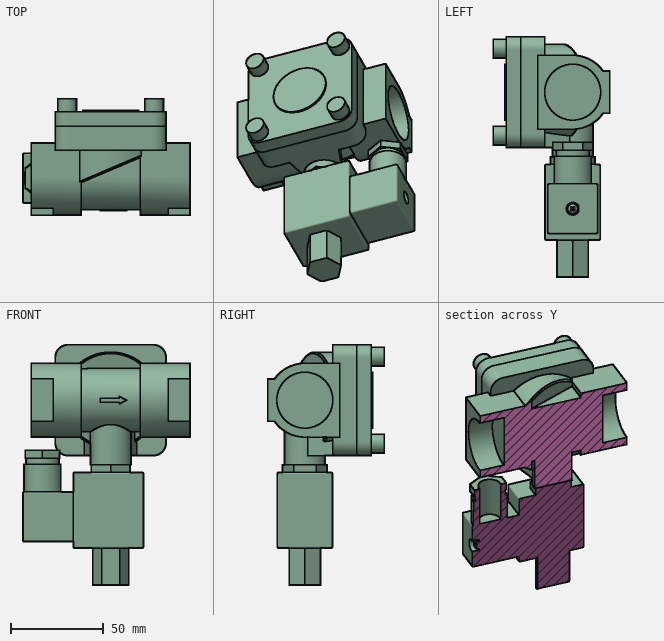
import cadquery as cq
import math


body_length = 86.0
body_radius = 20.0
body_back_y = 19.0
waist_length = 32.0
port_diameter = 30.29
waist_wall = 2.0
waist_radius = port_diameter / 2 + waist_wall
port_depth = 14.0

pad_length = 12.0
pad_height = 23.0
pad_face_y = -20.1

arrow_face_y = -17.5
arrow_tail_x = -5.7
arrow_neck_x = 4.7
arrow_tip_x = 8.6
arrow_shaft_half = 1.1
arrow_head_half = 2.0

flange_size = 60.0
flange_corner_radius = 7.0
flange_front_y = 15.0
cover_front_y = 28.0
cover_back_y = 36.0
disc_diameter = 30.29
disc_height = 0.8
bolt_head_diameter = 10.25
bolt_head_height = 7.0
bolt_offset = 23.5

neck_radius = 26.0
neck_chamfer = 0.8
slope_left_y = -2.4
slope_right_y = 11.2

boss_radius = 11.0
boss_bottom_z = -35.0
web_front_y = 1.7
web_back_half_width = 14.2

collar_flats = 21.0
coil_left_x = -20.2
coil_right_x = 17.8
coil_depth = 30.0
coil_top_z = -39.0
coil_bottom_z = -80.0
coil_fillet = 1.0
nut_flats = 17.0
nut_bottom_z = -100.0
nut_chamfer = 0.3

plug_left_x = -47.5
plug_size = 27.0
plug_top_z = -49.5
plug_fillet = 1.0
gland_x = -36.9
gland_diameter = 20.0
gland_top_z = -34.5
gland_neck_diameter = 18.0
gland_neck_top_z = -31.5
gland_hex_flats = 18.7
gland_hex_top_z = -27.0
cable_hole_diameter = 12.3

screw_z = plug_top_z - plug_size / 2
screw_hole_diameter = 6.8
screw_hole_depth = 4.0
screw_head_diameter = 5.5
screw_head_height = 2.4
screw_rim_height = 1.0
cross_span = 2.58
cross_width = 0.7
cross_depth = 1.0


def box(x0, x1, y0, y1, z0, z1):
    """Box between two opposite corners."""
    return cq.Workplane("XY").box(x1 - x0, y1 - y0, z1 - z0, centered=False).translate((x0, y0, z0))


def upright(x, z0, z1, diameter):
    """Cylinder along Z, centred on Y = 0."""
    return cq.Workplane("XY", origin=(x, 0, z0)).circle(diameter / 2).extrude(z1 - z0)


def hexagon(x, z0, z1, flats, turn):
    """Hexagonal prism along Z; turn 0 puts two corners on the X direction, 30 on the Y direction."""
    corner_diameter = flats / math.cos(math.pi / 6)
    prism = cq.Workplane("XY").polygon(6, corner_diameter).extrude(z1 - z0)
    return prism.rotate((0, 0, 0), (0, 0, 1), turn).translate((x, 0, z0))


def d_section(x0, x1, radius):
    """Bar along X: half round at the front, square at the back."""
    profile = (
        cq.Workplane("YZ", origin=(x0, 0, 0))
        .moveTo(body_back_y, radius)
        .lineTo(0, radius)
        .threePointArc((-radius, 0), (0, -radius))
        .lineTo(body_back_y, -radius)
        .close()
    )
    return profile.extrude(x1 - x0)


def along_y(y0, y1):
    """Workplane at Y = y1, with local x on X and local y on Z, and the length that extrudes back to y0."""
    return cq.Workplane("XZ", origin=(0, y1, 0)), y1 - y0


def flow_body():
    half_body = body_length / 2
    half_waist = waist_length / 2
    left_end = d_section(-half_body, -half_waist, body_radius)
    right_end = d_section(half_waist, half_body, body_radius)
    return d_section(-half_waist, half_waist, waist_radius).union(left_end).union(right_end)


def wrench_pads():
    pads = cq.Workplane("XY")
    for x in (-body_length / 2, body_length / 2 - pad_length):
        pads = pads.union(box(x, x + pad_length, pad_face_y, 0, -pad_height / 2, pad_height / 2))
    return pads


def flow_arrow():
    plane, height = along_y(arrow_face_y, 0)
    half = [
        (arrow_tail_x, arrow_shaft_half),
        (arrow_neck_x, arrow_shaft_half),
        (arrow_neck_x, arrow_head_half),
    ]
    mirrored = [(x, -z) for x, z in reversed(half)]
    return plane.polyline(half + [(arrow_tip_x, 0)] + mirrored).close().extrude(height)


def square_plate(y0, y1):
    """Square plate with rounded corners between two Y positions."""
    plane, height = along_y(y0, y1)
    return plane.rect(flange_size, flange_size).extrude(height).edges("|Y").fillet(flange_corner_radius)


def sloped_neck():
    slope = (slope_right_y - slope_left_y) / waist_length
    mid_y = (slope_left_y + slope_right_y) / 2
    reach = 2 * neck_radius
    plane, height = along_y(-reach, flange_front_y)
    neck = plane.circle(neck_radius).extrude(height)
    behind_slope = (
        cq.Workplane("XY", origin=(0, 0, -reach))
        .moveTo(-reach, mid_y - slope * reach)
        .lineTo(reach, mid_y + slope * reach)
        .lineTo(reach, 2 * reach)
        .lineTo(-reach, 2 * reach)
        .close()
        .extrude(2 * reach)
    )
    sloping_face = cq.selectors.DirectionMinMaxSelector(cq.Vector(slope, -1, 0))
    return neck.intersect(behind_slope).faces(sloping_face).chamfer(neck_chamfer)


def outlet_boss():
    boss = upright(0, boss_bottom_z, 0, 2 * boss_radius)
    web_front_half_width = math.sqrt(boss_radius**2 - web_front_y**2)
    web = (
        cq.Workplane("XY", origin=(0, 0, -flange_size / 2))
        .moveTo(-web_front_half_width, web_front_y)
        .lineTo(web_front_half_width, web_front_y)
        .lineTo(web_back_half_width, flange_front_y)
        .lineTo(-web_back_half_width, flange_front_y)
        .close()
        .extrude(flange_size / 2)
    )
    return boss.union(web)


def make_valve_body():
    body = flow_body().union(wrench_pads()).union(flow_arrow())
    body = body.union(square_plate(flange_front_y, cover_front_y)).union(sloped_neck()).union(outlet_boss())
    for end in (-1, 1):
        port = cq.Workplane("YZ", origin=(end * body_length / 2, 0, 0))
        body = body.cut(port.circle(port_diameter / 2).extrude(-end * port_depth))
    return body


def make_cover():
    disc_plane, disc_length = along_y(cover_back_y, cover_back_y + disc_height)
    bolt_plane, bolt_length = along_y(cover_back_y, cover_back_y + bolt_head_height)
    disc = disc_plane.circle(disc_diameter / 2).extrude(disc_length)
    bolts = bolt_plane.rect(2 * bolt_offset, 2 * bolt_offset, forConstruction=True).vertices()
    bolt_heads = bolts.circle(bolt_head_diameter / 2).extrude(bolt_length)
    return square_plate(cover_front_y, cover_back_y).union(disc).union(bolt_heads)


def coil_with_hexagons():
    block = box(coil_left_x, coil_right_x, -coil_depth / 2, coil_depth / 2, coil_bottom_z, coil_top_z)
    nut_corner_diameter = nut_flats / math.cos(math.pi / 6)
    nut_envelope = upright(0, nut_bottom_z, coil_bottom_z, nut_corner_diameter)
    nut_envelope = nut_envelope.edges("%CIRCLE").chamfer(nut_chamfer)
    nut = hexagon(0, nut_bottom_z, coil_bottom_z, nut_flats, 0).intersect(nut_envelope)
    collar = hexagon(0, coil_top_z, boss_bottom_z, collar_flats, 30)
    return block.edges().fillet(coil_fillet).union(nut).union(collar)


def connector():
    half = plug_size / 2
    plug = box(plug_left_x, coil_left_x, -half, half, plug_top_z - plug_size, plug_top_z)
    plug = plug.edges("not >X").fillet(plug_fillet)
    plug = plug.union(upright(gland_x, screw_z, gland_top_z, gland_diameter))
    plug = plug.union(upright(gland_x, gland_top_z, gland_neck_top_z, gland_neck_diameter))
    plug = plug.union(hexagon(gland_x, gland_neck_top_z, gland_hex_top_z, gland_hex_flats, 30))
    plug = plug.cut(upright(gland_x, plug_top_z, gland_hex_top_z, cable_hole_diameter))
    screw_hole = cq.Workplane("YZ", origin=(plug_left_x, 0, screw_z)).circle(screw_hole_diameter / 2)
    return plug.cut(screw_hole.extrude(screw_hole_depth)).union(screw_head())


def screw_head():
    """Domed screw head with a cross recess, standing on the floor of its hole."""
    floor_x = plug_left_x + screw_hole_depth
    head_top_x = floor_x - screw_head_height
    head_radius = screw_head_diameter / 2
    dome_height = screw_head_height - screw_rim_height
    dome_radius = (head_radius**2 + dome_height**2) / (2 * dome_height)
    arc_radius = head_radius / 2
    arc_x = head_top_x + dome_radius - math.sqrt(dome_radius**2 - arc_radius**2)
    head = (
        cq.Workplane("XY")
        .moveTo(floor_x, 0)
        .lineTo(floor_x, head_radius)
        .lineTo(floor_x - screw_rim_height, head_radius)
        .threePointArc((arc_x, arc_radius), (head_top_x, 0))
        .close()
        .revolve(360, (0, 0, 0), (1, 0, 0))
        .translate((0, 0, screw_z))
    )
    recess_plane = cq.Workplane("YZ", origin=(head_top_x, 0, screw_z))
    for turn in (45, 135):
        arm = recess_plane.transformed(rotate=(0, 0, turn)).rect(cross_span, cross_width)
        head = head.cut(arm.extrude(cross_depth))
    return head


body = make_valve_body()
cover = make_cover()
solenoid = coil_with_hexagons().union(connector())
result = cq.Compound.makeCompound([body.val(), cover.val(), solenoid.val()])